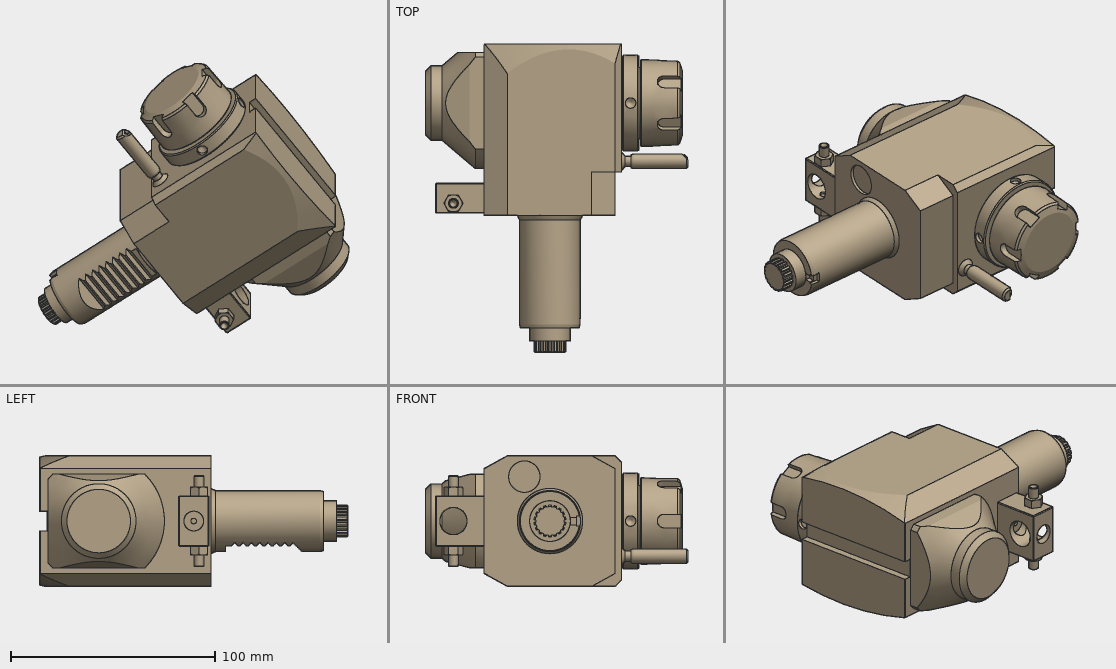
import cadquery as cq
import math


half_height = 32.0
housing_depth = 84.0
housing_left = -32.3
housing_right = 35.0
bevel_run = 11.5
bevel_rise = 6.3
rear_edge_chamfer = 3.2
step_depth = 21.1
step_right = housing_right - rear_edge_chamfer
back_bow_radius = 157.0
back_bow_x = 9.2
back_bow_drop = 0.68
back_bow_slope = 0.24
back_edge_chamfer = 0.5
back_slot_width = 9.5
back_slot_depth = 3.8
plug_x = -12.5
plug_z = 21.7
plug_radius = 7.7
plug_recess = 1.5

shank_radius = 15.0
shank_end = 55.1
shank_chamfer = 0.5
shank_chamfer_length = 1.7
collar_radius = 16.0
collar_rim_radius = 15.4
collar_rim = 1.4
collar_end = 2.3
pilot_radius = 10.0
pilot_end = 61.5
overall_length = 151.0
spline_end = overall_length - housing_depth
spline_radius = 7.9
spline_root_radius = 7.0
spline_face_radius = 7.2
spline_count = 18
spline_chamfer = 0.5
spline_tooth_tip = 0.4
spline_tooth_base = 0.7
rack_start = 7.1
rack_flat_z = -12.2
rack_cut_bottom = -16.6
tooth_depth = 1.7
tooth_pitch = 4.1
tooth_count = 8
first_tooth_gap = 11.6
key_width = 4.8
key_length = 4.5
key_floor = 13.0
key_inner_width = 3.6
key_inner_length = 2.3

spindle_y = 55.0

boss_left = -61.0
cap_chamfer = 2.7
cap_radius = 18.3
cap_right = -52.8
cone_right = -36.5
boss_radius = 32.2
boss_half_height = 23.0
boss_taper_x = -39.3
boss_taper_angle = 15.0
boss_back = 79.7

neck_radius = 21.7
ring_left = 35.5
ring_right = 43.5
ring_radius = 23.5
ring_chamfer = 0.6
groove_radius = 17.5
nut_left = 44.2
nut_radius = 21.3
nut_front_radius = 20.8
nut_chamfer = 0.5
nut_rim = 62.5
nut_cone_start = 63.5
nut_cone_radius = 20.0
nut_right = 64.8
nut_face_radius = 16.0
ring_hole_radius = 2.5
ring_hole_x = (ring_left + ring_right) / 2
ring_hole_depth = 1.8
ring_hole_tip = 1.5
ring_hole_count = 4
nut_slot_count = 6
nut_slot_width = 6.6
nut_slot_start = 52.5
nut_slot_floor = 17.7

pin_y = 26.5
pin_z = -17.2
pin_radius = 3.6
pin_right = 67.6
pin_chamfer = 0.9
pin_foot_radius = 4.5
pin_neck_radius = 2.5
pin_neck_left = 36.8
pin_neck_right = 39.7
pin_shoulder = 1.2
pin_shoulder_radius = 3.3
pin_bevel = 3.0
pin_stud_radius = 1.2
pin_stud_height = 0.6

coolant_left = -56.0
coolant_front = 1.0
coolant_depth = 14.8
coolant_half_height = 12.4
coolant_chamfer = 0.5
coolant_x = -47.3
cross_bore_radius = 6.6
side_bore_radius = 4.8
side_bore_end = -37.8
feed_radius = 1.4
feed_pocket_radius = 2.0
feed_pocket_depth = 0.9
nozzle_y = 5.9
hex_across_corners = 9.4
hex_height = 4.2
hex_chamfer = 0.5
nozzle_radius = 2.4
nozzle_top = 22.2
nozzle_chamfer = 0.3
nozzle_socket_radius = 1.8
nozzle_socket_depth = 2.3


def turned(origin, axis, profile):
    """Revolve (distance along axis, radius) points about the axis through origin."""
    normal = (1, 0, 0) if axis[0] == 0 else (0, 0, 1)
    plane = cq.Plane(origin=origin, xDir=axis, normal=normal)
    ends_on_axis = [(profile[0][0], 0), (profile[-1][0], 0)]
    outline = profile + [point for point in reversed(ends_on_axis) if point not in profile]
    return cq.Workplane(plane).polyline(outline).close().revolve(360, (0, 0, 0), (1, 0, 0))


def rod(origin, axis, length, radius):
    return turned(origin, axis, [(0, radius), (length, radius)])


def box(x_range, y_range, z_range):
    ranges = (x_range, y_range, z_range)
    sizes = [high - low for low, high in ranges]
    return cq.Workplane("XY").box(*sizes, centered=False).translate([low for low, _ in ranges])


def prism_along_y(points, start, end):
    """Extrude an (x, z) outline from y = start to y = end."""
    return cq.Workplane("XZ", origin=(0, start, 0)).polyline(points).close().extrude(start - end)


def mirrored_outline(upper):
    """Close an (x, z) outline given by its upper half, symmetric about z = 0."""
    return upper + [(x, -z) for x, z in reversed(upper)]


def housing():
    shoulder = half_height - bevel_rise
    left_side = [(housing_left, shoulder), (housing_left + bevel_run, half_height)]
    front_side = [(step_right - bevel_run, half_height), (step_right, shoulder)]
    rear_side = [(step_right, half_height), (housing_right, half_height - rear_edge_chamfer)]
    body = prism_along_y(mirrored_outline(left_side + front_side), 0, step_depth)
    body = body.union(prism_along_y(mirrored_outline(left_side + rear_side), step_depth, housing_depth))

    front_radius = back_bow_radius + back_bow_slope * housing_depth
    for side in (1, -1):
        bow_z = side * (half_height - back_bow_drop - back_bow_radius)
        cone = [(0, front_radius), (housing_depth, back_bow_radius)]
        body = body.intersect(turned((back_bow_x, 0, bow_z), (0, 1, 0), cone))

    back_corner = [
        (housing_left, housing_depth - back_edge_chamfer),
        (housing_left, housing_depth),
        (housing_left + back_edge_chamfer, housing_depth),
    ]
    body = body.cut(cq.Workplane("XY").polyline(back_corner).close().extrude(half_height, both=True))
    body = body.cut(box((housing_left, housing_right), (housing_depth - back_slot_depth, housing_depth),
                        (-back_slot_width / 2, back_slot_width / 2)))
    return body.cut(rod((plug_x, 0, plug_z), (0, 1, 0), plug_recess, plug_radius))


def rack_cutter():
    """Flat on the underside of the shank, toothed across, with a 45 degree run-out."""
    outline = [(-rack_start, rack_cut_bottom), (-rack_start, rack_flat_z)]
    for tooth in range(tooth_count):
        gap_y = -first_tooth_gap - tooth * tooth_pitch
        outline.append((gap_y + tooth_depth, rack_flat_z))
        outline.append((gap_y, rack_flat_z + tooth_depth))
        if tooth < tooth_count - 1:
            outline.append((gap_y - tooth_depth, rack_flat_z))
    run_out = rack_flat_z + tooth_depth - rack_cut_bottom
    outline.append((gap_y - run_out, rack_cut_bottom))
    return cq.Workplane("YZ").polyline(outline).close().extrude(shank_radius, both=True)


def spline():
    """Toothed drive end, its teeth bevelled nearly to the root at the end face."""
    step = 2 * math.pi / spline_count
    tip = spline_tooth_tip / 2
    base = spline_tooth_base / 2
    flank = [(tip, spline_radius), (base, spline_root_radius)]
    corners = [(-offset, radius) for offset, radius in reversed(flank)] + flank
    outline = []
    for tooth in range(spline_count):
        for offset, radius in corners:
            angle = math.pi / 2 + (tooth + offset) * step
            outline.append((radius * math.cos(angle), radius * math.sin(angle)))
    bevel = [
        (pilot_end, pilot_radius),
        (spline_end - spline_chamfer, spline_radius),
        (spline_end, spline_face_radius),
    ]
    return prism_along_y(outline, -spline_end, -pilot_end).intersect(turned((0, 0, 0), (0, -1, 0), bevel))



def shank():
    profile = [
        (0, collar_radius),
        (collar_rim, collar_rim_radius),
        (collar_end, shank_radius),
        (shank_end - shank_chamfer_length, shank_radius),
        (shank_end, shank_radius - shank_chamfer),
        (shank_end, pilot_radius),
        (pilot_end, pilot_radius),
    ]
    body = turned((0, 0, 0), (0, -1, 0), profile).cut(rack_cutter())
    for inner, outer, length, width in ((key_floor, shank_radius, key_length, key_width),
                                        (pilot_radius, key_floor, key_inner_length, key_inner_width)):
        body = body.cut(box((inner, outer), (-shank_end, length - shank_end), (-width / 2, width / 2)))
    return body.union(spline())


def gear_boss():
    profile = [
        (boss_left, cap_radius - cap_chamfer),
        (boss_left + cap_chamfer, cap_radius),
        (cap_right, cap_radius),
        (cone_right, boss_radius),
        (housing_left, boss_radius),
    ]
    body = turned((0, spindle_y, 0), (1, 0, 0), profile)
    taper_drop = (boss_taper_x - boss_left) * math.tan(math.radians(boss_taper_angle))
    flats = mirrored_outline([
        (boss_left, boss_half_height - taper_drop),
        (boss_taper_x, boss_half_height),
        (housing_left, boss_half_height),
    ])
    envelope = prism_along_y(flats, spindle_y - boss_radius, boss_back)
    cap = rod((boss_left, spindle_y, 0), (1, 0, 0), cap_right - boss_left, cap_radius)
    return body.intersect(envelope.union(cap))


def collet_nut():
    profile = [
        (housing_right, neck_radius),
        (ring_left, neck_radius),
        (ring_left, ring_radius - ring_chamfer),
        (ring_left + ring_chamfer, ring_radius),
        (ring_right - ring_chamfer, ring_radius),
        (ring_right, ring_radius - ring_chamfer),
        (ring_right, groove_radius),
        (nut_left, groove_radius),
        (nut_left, nut_radius - nut_chamfer),
        (nut_left + nut_chamfer, nut_radius),
        (nut_rim, nut_front_radius),
        (nut_cone_start, nut_cone_radius),
        (nut_right, nut_face_radius),
    ]
    body = turned((0, spindle_y, 0), (1, 0, 0), profile)
    axis_start = (0, spindle_y, 0)
    axis_end = (1, spindle_y, 0)

    hole_profile = [(-ring_hole_depth, ring_hole_radius), (ring_hole_depth, ring_hole_radius),
                    (ring_hole_depth + ring_hole_tip, 0)]
    hole = turned((ring_hole_x, spindle_y - ring_radius, 0), (0, 1, 0), hole_profile)
    for index in range(ring_hole_count):
        body = body.cut(hole.rotate(axis_start, axis_end, index * 360 / ring_hole_count))

    slot_radius = nut_slot_width / 2
    slot_y = spindle_y - nut_slot_floor
    round_x = nut_slot_start + slot_radius
    slot = box((round_x, nut_right), (slot_y - nut_radius, slot_y), (-slot_radius, slot_radius))
    slot = slot.union(rod((round_x, slot_y, 0), (0, -1, 0), nut_radius, slot_radius))
    for index in range(nut_slot_count):
        body = body.cut(slot.rotate(axis_start, axis_end, index * 360 / nut_slot_count))
    return body


def stop_pin():
    profile = [
        (housing_right, pin_foot_radius),
        (pin_neck_left, pin_neck_radius),
        (pin_neck_right, pin_neck_radius),
        (pin_neck_right, pin_shoulder_radius),
        (pin_neck_right + pin_shoulder, pin_radius),
        (pin_right - pin_chamfer, pin_radius),
        (pin_right, pin_radius - pin_chamfer),
    ]
    body = turned((0, pin_y, pin_z), (1, 0, 0), profile)
    top = pin_y + pin_radius
    corner = [(pin_right - pin_bevel, top), (pin_right, top), (pin_right, top - pin_bevel)]
    corner_cut = cq.Workplane("XY", origin=(0, 0, pin_z)).polyline(corner).close()
    body = body.cut(corner_cut.extrude(pin_radius, both=True))
    stud_base = (pin_right - pin_bevel / 2, top - pin_bevel / 2, pin_z)
    return body.union(rod(stud_base, (1, 1, 0), pin_stud_height, pin_stud_radius))


def nozzle(side):
    """Hexagon and spout standing on the top (side = 1) or bottom (side = -1)."""
    hex_top = coolant_half_height + hex_height
    origin = (coolant_x, nozzle_y, 0)
    axis = (0, 0, side)
    corner_radius = hex_across_corners / 2
    hexagon = cq.Workplane("XY", origin=origin).polygon(6, hex_across_corners).extrude(side * hex_top)
    hexagon = hexagon.intersect(turned(origin, axis, [
        (coolant_half_height, corner_radius),
        (hex_top - hex_chamfer, corner_radius),
        (hex_top, corner_radius - hex_chamfer),
    ]))
    spout = turned(origin, axis, [
        (coolant_half_height, nozzle_radius),
        (nozzle_top - nozzle_chamfer, nozzle_radius),
        (nozzle_top, nozzle_radius - nozzle_chamfer),
    ])
    socket = turned(origin, axis, [(nozzle_top - nozzle_socket_depth, 0), (nozzle_top, nozzle_socket_radius)])
    return hexagon.union(spout).cut(socket)


def coolant_block():
    back = coolant_front + coolant_depth
    middle = (coolant_front + back) / 2
    body = box((coolant_left, housing_left), (coolant_front, back),
               (-coolant_half_height, coolant_half_height))
    body = body.faces("<X or <Y or >Y").edges().edges("not(>X)").chamfer(coolant_chamfer)
    for side in (1, -1):
        body = body.union(nozzle(side))
    body = body.cut(rod((coolant_x, coolant_front, 0), (0, 1, 0), coolant_depth, cross_bore_radius))
    body = body.cut(rod((coolant_left, middle, 0), (1, 0, 0), side_bore_end - coolant_left, side_bore_radius))
    body = body.cut(rod((coolant_left, middle, 0), (1, 0, 0), housing_left - coolant_left, feed_radius))
    reach = cross_bore_radius + feed_pocket_depth
    return body.cut(rod((coolant_x, nozzle_y, -reach), (0, 0, 1), 2 * reach, feed_pocket_radius))


result = housing()
for attachment in (shank(), gear_boss(), collet_nut(), stop_pin(), coolant_block()):
    result = result.union(attachment)